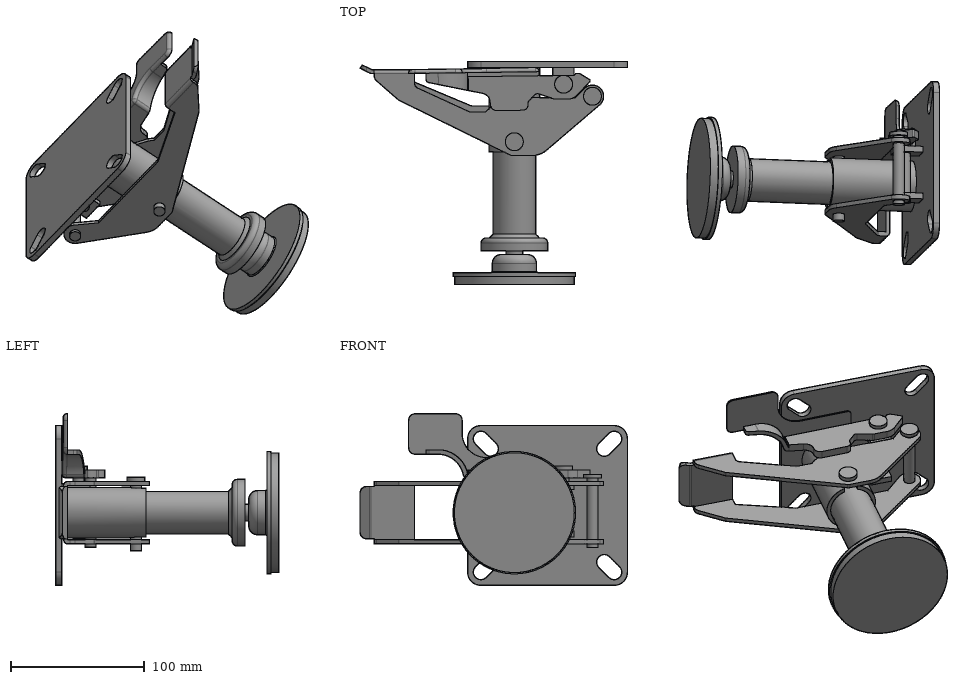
import cadquery as cq
import math


PLATE_SIZE = 119.7
PLATE_THICKNESS = 4.6
PLATE_CORNER_RADIUS = 10
PLATE_CENTER_X = 24.8
PLATE_CENTER_Z = 5.5
SLOT_WIDTH = 11.2
SLOT_TRAVEL_PER_AXIS = 7.5
SLEEVE_RADIUS = 19.0
SLEEVE_END_Y = -67.6
SLEEVE_SLOT_WIDTH = 10
LUG_THICKNESS = 4.5
LUG_LEFT_X = 28.6
LUG_RIGHT_X = 44.6
LUG_END_Y = -25.8
LUG_BOTTOMS_Z = (-18.2, 17.5)

PIN_DIAMETER = 8.5
PIN_HEAD_DIAMETER = 13.5
LEVER_PIN_X, LEVER_PIN_Y = 36.8, -17.0
PEDAL_PIN_X, PEDAL_PIN_Y = 58.5, -26
LEG_PIN_X, LEG_PIN_Y = 0, -60
PIN_HEAD_HEIGHT = 2.8
LEG_PIN_HEAD_HEIGHT = 3.2
LEVER_PIN_BOTTOM_Z = -20
PEDAL_PIN_BOTTOM_Z = -26
PEDAL_PIN_HEAD_Z = 25.8
LEG_PIN_BOTTOM_Z = -28.6

LEG_RADIUS = 16
LEG_END_Y = -141.7
COLLAR_RADIUS = 25.0
COLLAR_HEIGHT = 9.8
COLLAR_EDGE_RADIUS = 4
COLLAR_CONE_HEIGHT = 2.8
COLLAR_CONE_RADIUS = 18.8
STEM_RADIUS = 6.5
FOOT_BOSS_RADIUS = 16.6
FOOT_BOSS_TOP_Y = -144.3
FOOT_BOSS_DOME_RADIUS = 6.8
FOOT_RIM_TOP_Y = -157.9
FOOT_RIM_RADIUS = 45.8
FOOT_RIM_HEIGHT = 3.0
FOOT_PAD_RADIUS = 44.8
FOOT_BOTTOM_Y = -167.0
FOOT_ROOT_RADIUS = 0.8

PEDAL_INNER_Z = 20.2
PEDAL_THICKNESS = 3.2
PEDAL_OUTER_Z = PEDAL_INNER_Z + PEDAL_THICKNESS
PEDAL_BEND_RADIUS = 3.0
PEDAL_LEFT_X = -104.9
PEDAL_WEB_RIGHT_X = -74.6
PEDAL_BACK_Y = -6
PEDAL_FRONT_Y = -9.0
PEDAL_BOTTOM_Y = -70.2
PEDAL_BOSS_RADIUS = 8.5
PEDAL_HEEL_RADIUS = 15.0
PEDAL_HEEL_X = 19.6
TIP_LEFT_X = -115.5
TIP_HALF_WIDTH = 19.6
TIP_CORNER_RADIUS = 5.0

LEVER_TILT = 0.8
LEVER_BACK_Y = -4.5
LEVER_PLATE_THICKNESS = 3.0
LEVER_FRONT_Y = LEVER_BACK_Y - LEVER_PLATE_THICKNESS
LEVER_PLATE_RIGHT_X = 18.6
LEVER_PLATE_TOP_Z = 41.2
LEVER_PLATE_CORNER_RADIUS = 2.8
LEVER_BEND_RADIUS = 2.8
LEVER_BLADE_BOTTOM_Z = 26
LEVER_BLADE_TOP_Z = 32
TAB_LEFT_X, TAB_RIGHT_X = -79.0, -38.8
TAB_TOP_Z = 74
TAB_CORNER_RADIUS = 5.0
NECK_RADIUS = 18
BLADE_BACK_Y = -10.5
BLADE_LEFT_X = -34.5
RIB_RADIUS = 19.0
RIB_THICKNESS = 3.5
RIB_CENTER_X, RIB_CENTER_Z = -56.8, 24.6
RIB_BOTTOM_Z = RIB_CENTER_Z + RIB_RADIUS
RIB_END_X = -66
RIB_FRONT_Y_AT_END = -14
RIB_FRONT_Y_AT_BLADE = -20.8
RIB_FOOT_RADIUS = 3.0
RIB_END_CORNER_RADIUS = 2.6

SHORTEST_LINE = 0.002


def rounded_outline(plane, corners):
    """Closed outline through corners given as (u, v, corner radius)."""
    stretches = []
    for index, (u, v, radius) in enumerate(corners):
        corner = cq.Vector(u, v)
        previous = corners[index - 1]
        following = corners[(index + 1) % len(corners)]
        back = (cq.Vector(previous[0], previous[1]) - corner).normalized()
        ahead = (cq.Vector(following[0], following[1]) - corner).normalized()
        half_angle = back.getAngle(ahead) / 2
        setback = radius / math.tan(half_angle)
        bisector = (back + ahead).normalized()
        middle = corner + bisector * (radius / math.sin(half_angle) - radius)
        stretches.append((corner + back * setback, middle, corner + ahead * setback, radius))
    outline = plane.moveTo(*stretches[0][2].toTuple()[:2])
    reached = stretches[0][2]
    for start, middle, end, radius in stretches[1:] + stretches[:1]:
        if (start - reached).Length > SHORTEST_LINE:
            outline = outline.lineTo(*start.toTuple()[:2])
        reached = end
        if radius > 0:
            outline = outline.threePointArc(middle.toTuple()[:2], end.toTuple()[:2])
    return outline.close()


def front_plane(y):
    """Plane parallel to XZ at the given Y; it extrudes toward -Y."""
    return cq.Workplane("XZ", origin=(0, y, 0))


def level_plane(z):
    """Plane parallel to XY at the given Z; it extrudes toward +Z."""
    return cq.Workplane("XY", origin=(0, 0, z))


def disc(start_y, end_y, radius):
    """Cylinder on the leg axis."""
    return front_plane(start_y).circle(radius).extrude(start_y - end_y)


def pin_hole(x, y):
    """Cutter along Z as wide as a pin shank."""
    reach = PLATE_SIZE
    return level_plane(-reach / 2).center(x, y).circle(PIN_DIAMETER / 2).extrude(reach)


def make_pin(x, y, bottom_z, head_z, head_height):
    shank = level_plane(bottom_z).center(x, y).circle(PIN_DIAMETER / 2).extrude(head_z - bottom_z)
    head = level_plane(head_z).center(x, y).circle(PIN_HEAD_DIAMETER / 2).extrude(head_height)
    return shank.union(head)


def make_base():
    """Mounting plate with the leg sleeve and two lugs for the lever pin."""
    plate = (
        front_plane(0)
        .center(PLATE_CENTER_X, PLATE_CENTER_Z)
        .rect(PLATE_SIZE, PLATE_SIZE)
        .extrude(PLATE_THICKNESS)
        .edges("|Y")
        .fillet(PLATE_CORNER_RADIUS)
    )
    slot_offset = PLATE_SIZE / 2 - PLATE_CORNER_RADIUS - SLOT_TRAVEL_PER_AXIS / 2
    slot_length = SLOT_TRAVEL_PER_AXIS * math.sqrt(2) + SLOT_WIDTH
    for side_x in (-1, 1):
        for side_z in (-1, 1):
            slot = (
                front_plane(0)
                .center(PLATE_CENTER_X + side_x * slot_offset, PLATE_CENTER_Z + side_z * slot_offset)
                .slot2D(slot_length, SLOT_WIDTH, 45 * side_x * side_z)
                .extrude(PLATE_THICKNESS)
            )
            plate = plate.cut(slot)

    sleeve = disc(-PLATE_THICKNESS, SLEEVE_END_Y, SLEEVE_RADIUS)
    sleeve = sleeve.cut(disc(-PLATE_THICKNESS, SLEEVE_END_Y, LEG_RADIUS))
    slot_depth = LEG_PIN_Y - SLEEVE_END_Y
    slot_round = level_plane(-SLEEVE_RADIUS).center(LEG_PIN_X, LEG_PIN_Y).circle(SLEEVE_SLOT_WIDTH / 2)
    slot_mouth = level_plane(-SLEEVE_RADIUS).center(LEG_PIN_X, LEG_PIN_Y - slot_depth / 2)
    slot_mouth = slot_mouth.rect(SLEEVE_SLOT_WIDTH, slot_depth).extrude(2 * SLEEVE_RADIUS)
    pin_slot = slot_round.extrude(2 * SLEEVE_RADIUS).union(slot_mouth)
    base = plate.union(sleeve.cut(pin_slot))

    lug_width = LUG_RIGHT_X - LUG_LEFT_X
    for bottom_z in LUG_BOTTOMS_Z:
        lug = level_plane(bottom_z).moveTo(LUG_LEFT_X, LUG_END_Y)
        lug = lug.rect(lug_width, -PLATE_THICKNESS - LUG_END_Y, centered=False).extrude(LUG_THICKNESS)
        base = base.union(lug)
    return base.cut(pin_hole(LEVER_PIN_X, LEVER_PIN_Y))


def make_leg():
    """Round leg that slides in the sleeve and ends in a collar."""
    collar_top = LEG_END_Y + COLLAR_HEIGHT
    collar = disc(collar_top, LEG_END_Y, COLLAR_RADIUS).faces(">Y").edges().fillet(COLLAR_EDGE_RADIUS)
    cone = front_plane(collar_top + COLLAR_CONE_HEIGHT).circle(LEG_RADIUS)
    cone = cone.workplane(offset=COLLAR_CONE_HEIGHT).circle(COLLAR_CONE_RADIUS).loft()
    leg = disc(-PLATE_THICKNESS, collar_top, LEG_RADIUS).union(cone).union(collar)
    return leg.cut(pin_hole(LEG_PIN_X, LEG_PIN_Y))


def make_foot():
    """Round foot with a domed boss and a stem that meets the leg."""
    stem = disc(LEG_END_Y, FOOT_BOSS_TOP_Y, STEM_RADIUS)
    boss = disc(FOOT_BOSS_TOP_Y, FOOT_RIM_TOP_Y, FOOT_BOSS_RADIUS)
    boss = boss.faces(">Y").edges().fillet(FOOT_BOSS_DOME_RADIUS)
    rim_bottom = FOOT_RIM_TOP_Y - FOOT_RIM_HEIGHT
    rim = disc(FOOT_RIM_TOP_Y, rim_bottom, FOOT_RIM_RADIUS)
    pad = disc(rim_bottom, FOOT_BOTTOM_Y, FOOT_PAD_RADIUS)
    root = front_plane(FOOT_RIM_TOP_Y + FOOT_ROOT_RADIUS).circle(FOOT_BOSS_RADIUS)
    root = root.workplane(offset=FOOT_ROOT_RADIUS).circle(FOOT_BOSS_RADIUS + FOOT_ROOT_RADIUS).loft()
    return stem.union(boss).union(root).union(rim).union(pad)


def pedal_side(bottom_z, inner_edge):
    """Pedal side plate; inner_edge runs from the web to the pivot boss."""
    to_boss_x = PEDAL_PIN_X - PEDAL_HEEL_X
    to_boss_y = PEDAL_PIN_Y - PEDAL_BOTTOM_Y
    boss_distance = math.hypot(to_boss_x, to_boss_y)
    heel_angle = math.atan2(to_boss_y, to_boss_x) - math.asin(PEDAL_BOSS_RADIUS / boss_distance)
    touch_length = math.sqrt(boss_distance**2 - PEDAL_BOSS_RADIUS**2)
    touch_x = PEDAL_HEEL_X + touch_length * math.cos(heel_angle)
    touch_y = PEDAL_BOTTOM_Y + touch_length * math.sin(heel_angle)
    corners = [
        (PEDAL_LEFT_X, PEDAL_BACK_Y, 0),
        (PEDAL_LEFT_X, -13.0, 5.2),
        (-86.5, -29.0, 3.0),
        (-2.6, PEDAL_BOTTOM_Y, 4),
        (PEDAL_HEEL_X, PEDAL_BOTTOM_Y, PEDAL_HEEL_RADIUS),
        (touch_x, touch_y, 0),
        (PEDAL_PIN_X, PEDAL_PIN_Y, 0),
        *reversed(inner_edge),
        (PEDAL_WEB_RIGHT_X, PEDAL_BACK_Y, 0),
    ]
    side = rounded_outline(level_plane(bottom_z), corners).extrude(PEDAL_THICKNESS)
    boss = level_plane(bottom_z).center(PEDAL_PIN_X, PEDAL_PIN_Y).circle(PEDAL_BOSS_RADIUS)
    return side.union(boss.extrude(PEDAL_THICKNESS))


def make_pedal():
    """Channel-shaped foot pedal: two side plates, a web and a bent-back tip."""
    boss_reach = PEDAL_BOSS_RADIUS * math.sqrt(0.5)
    boss_x = PEDAL_PIN_X - boss_reach
    boss_y = PEDAL_PIN_Y + boss_reach
    upper_edge_y = -27.0
    lower_edge_y = -33.2
    upper_edge = [
        (PEDAL_WEB_RIGHT_X, -18.8, 4),
        (-33.2, -37.8, 4),
        (-21.6, -37.8, 1.0),
        (-18.6, -34.8, 2),
        (-5.5, upper_edge_y, 2),
        (boss_x - (boss_y - upper_edge_y), upper_edge_y, 0),
        (boss_x, boss_y, 0),
    ]
    lower_edge = [
        (PEDAL_WEB_RIGHT_X, -15.5, 1.0),
        (-32, lower_edge_y, 4),
        (boss_x - (boss_y - lower_edge_y), lower_edge_y, 0),
        (boss_x, boss_y, 0),
    ]
    pedal = pedal_side(PEDAL_INNER_Z, upper_edge).union(pedal_side(-PEDAL_OUTER_Z, lower_edge))
    web = (
        front_plane(PEDAL_BACK_Y)
        .moveTo(PEDAL_LEFT_X, -PEDAL_OUTER_Z)
        .rect(PEDAL_WEB_RIGHT_X - PEDAL_LEFT_X, 2 * PEDAL_OUTER_Z, centered=False)
        .extrude(PEDAL_BACK_Y - PEDAL_FRONT_Y)
    )
    pedal = pedal.union(web).edges("|X and >Y").fillet(PEDAL_BEND_RADIUS)

    tip_section = [
        (PEDAL_LEFT_X, PEDAL_BACK_Y, 0),
        (-106.7, PEDAL_BACK_Y, 0),
        (-113.7, -2.6, 0),
        (TIP_LEFT_X, -5.0, 0),
        (-107.7, PEDAL_FRONT_Y, 2.6),
        (PEDAL_LEFT_X, PEDAL_FRONT_Y, 0),
    ]
    tip = rounded_outline(level_plane(-TIP_HALF_WIDTH), tip_section).extrude(2 * TIP_HALF_WIDTH)
    tip_corners = [
        (TIP_LEFT_X, -TIP_HALF_WIDTH, TIP_CORNER_RADIUS),
        (PEDAL_LEFT_X, -TIP_HALF_WIDTH, 0),
        (PEDAL_LEFT_X, TIP_HALF_WIDTH, 0),
        (TIP_LEFT_X, TIP_HALF_WIDTH, TIP_CORNER_RADIUS),
    ]
    tip_front = rounded_outline(front_plane(0), tip_corners).extrude(-PEDAL_BOTTOM_Y)
    pedal = pedal.union(tip.intersect(tip_front))
    return pedal.cut(pin_hole(PEDAL_PIN_X, PEDAL_PIN_Y)).cut(pin_hole(LEG_PIN_X, LEG_PIN_Y))


def rib_cylinder(radius):
    """Cylinder along Y on the axis of the rib curve."""
    return front_plane(0).center(RIB_CENTER_X, RIB_CENTER_Z).circle(radius).extrude(-PEDAL_BOTTOM_Y)


def lever_plate():
    """Back plate of the lever with the foot tab, hollowed below the rib."""
    corners = [
        (TAB_LEFT_X, RIB_BOTTOM_Z, TAB_CORNER_RADIUS),
        (TAB_LEFT_X, TAB_TOP_Z, TAB_CORNER_RADIUS),
        (TAB_RIGHT_X, TAB_TOP_Z, TAB_CORNER_RADIUS),
        (TAB_RIGHT_X, LEVER_PLATE_TOP_Z, NECK_RADIUS),
        (LEVER_PLATE_RIGHT_X, LEVER_PLATE_TOP_Z, LEVER_PLATE_CORNER_RADIUS),
        (LEVER_PLATE_RIGHT_X, LEVER_BLADE_BOTTOM_Z, 0),
        (RIB_CENTER_X, LEVER_BLADE_BOTTOM_Z, 0),
        (RIB_CENTER_X, RIB_BOTTOM_Z, 0),
    ]
    plate = rounded_outline(front_plane(LEVER_BACK_Y), corners).extrude(LEVER_PLATE_THICKNESS)
    return plate.cut(rib_cylinder(RIB_RADIUS))


def lever_rib():
    """Bent sheet from the rib end, round the curve and along the foot of the plate."""
    depth = -PEDAL_BOTTOM_Y
    straight = front_plane(0).moveTo(RIB_END_X, RIB_BOTTOM_Z)
    straight = straight.rect(RIB_CENTER_X - RIB_END_X, RIB_THICKNESS, centered=False).extrude(depth)
    outer_radius = RIB_RADIUS + RIB_THICKNESS
    quarter = front_plane(0).moveTo(RIB_CENTER_X, LEVER_BLADE_BOTTOM_Z)
    quarter = quarter.rect(outer_radius, outer_radius, centered=False).extrude(depth)
    curve = rib_cylinder(outer_radius).intersect(quarter)
    ledge = front_plane(0).moveTo(RIB_CENTER_X, LEVER_BLADE_BOTTOM_Z)
    ledge = ledge.rect(LEVER_PLATE_RIGHT_X - RIB_CENTER_X, RIB_THICKNESS, centered=False).extrude(depth)
    sheet = straight.union(curve).union(ledge).cut(rib_cylinder(RIB_RADIUS))
    outline = [
        (RIB_END_X, LEVER_BACK_Y, 0),
        (LEVER_PLATE_RIGHT_X, LEVER_BACK_Y, 0),
        (LEVER_PLATE_RIGHT_X, BLADE_BACK_Y, 0),
        (BLADE_LEFT_X, BLADE_BACK_Y, 0),
        (BLADE_LEFT_X, RIB_FRONT_Y_AT_BLADE, 0),
        (RIB_END_X, RIB_FRONT_Y_AT_END, RIB_END_CORNER_RADIUS),
    ]
    return sheet.intersect(rounded_outline(level_plane(0), outline).extrude(TAB_TOP_Z))


def lever_blade():
    """Thick latch blade that carries the lever pin."""
    outline = [
        (BLADE_LEFT_X, BLADE_BACK_Y, 0),
        (44.8, BLADE_BACK_Y, 0),
        (46.2, -9.0, 0.8),
        (48.8, -9.0, 1.6),
        (57.5, -14.5, 1.2),
        (44.2, -28.2, 9.6),
        (29.6, -28, 4),
        (16.5, -23.5, 2.5),
        (10, -29.8, 3.2),
        (10, -36, 4),
        (-18, -36, 4.8),
        (-18.5, -24.2, 7.0),
        (BLADE_LEFT_X, RIB_FRONT_Y_AT_BLADE, 0),
    ]
    blade = rounded_outline(level_plane(LEVER_BLADE_BOTTOM_Z), outline)
    return blade.extrude(LEVER_BLADE_TOP_Z - LEVER_BLADE_BOTTOM_Z)


def make_release_lever():
    """Foot tab, bent rib and latch blade in one piece, tilted about the lever pin."""
    lever = lever_plate().union(lever_rib()).union(lever_blade()).clean()
    foot_x = RIB_CENTER_X + math.sqrt(RIB_RADIUS**2 - (LEVER_BLADE_BOTTOM_Z - RIB_CENTER_Z) ** 2)
    rib_foot = cq.selectors.NearestToPointSelector((foot_x, LEVER_FRONT_Y, LEVER_BLADE_BOTTOM_Z))
    lever = lever.edges("|Y").edges(rib_foot).fillet(RIB_FOOT_RADIUS)
    plate_foot_x = (BLADE_LEFT_X + LEVER_PLATE_RIGHT_X) / 2
    plate_foot = cq.selectors.NearestToPointSelector((plate_foot_x, LEVER_BACK_Y, LEVER_BLADE_BOTTOM_Z))
    lever = lever.edges(">Y").edges(plate_foot).fillet(LEVER_BEND_RADIUS)
    lever = lever.cut(pin_hole(LEVER_PIN_X, LEVER_PIN_Y))
    return lever.rotate((LEVER_PIN_X, LEVER_PIN_Y, 0), (LEVER_PIN_X, LEVER_PIN_Y, 1), LEVER_TILT)


base = make_base()
leg = make_leg()
foot = make_foot()
pedal = make_pedal()
release_lever = make_release_lever()

pin_places = [
    (LEVER_PIN_X, LEVER_PIN_Y, LEVER_PIN_BOTTOM_Z, LEVER_BLADE_TOP_Z, PIN_HEAD_HEIGHT),
    (PEDAL_PIN_X, PEDAL_PIN_Y, PEDAL_PIN_BOTTOM_Z, PEDAL_PIN_HEAD_Z, PIN_HEAD_HEIGHT),
    (LEG_PIN_X, LEG_PIN_Y, LEG_PIN_BOTTOM_Z, PEDAL_OUTER_Z, LEG_PIN_HEAD_HEIGHT),
]
pins = [make_pin(*place).val() for place in pin_places]

result = cq.Compound.makeCompound(
    [base.val(), leg.val(), foot.val(), pedal.val(), release_lever.val(), *pins]
)